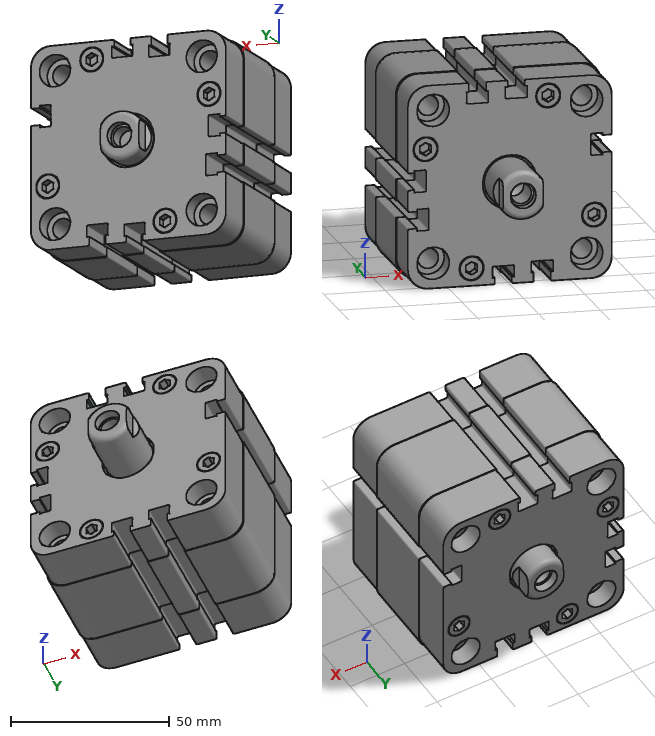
import cadquery as cq
import math


tube_side = 67.0
cap_side = 66.4
cap_length = 14.7
tube_length = 25.9
corner_radius = 6.7
body_length = 2 * cap_length + tube_length

deep_slot = (-10.55, 3.3, 7.0)
shallow_slot = (2.1, 2.4, 6.1)
lip_width = 5.4
channel_width = 6.9
slot_mouth_radius = 0.6
slot_floor_radius = 0.5
cap_slot_clearance = 0.1

overall_length = 80.5
rod_diameter = 16.0
rod_front_length = 17.55
rod_back_length = overall_length - body_length - rod_front_length
rod_end_radius = 1.8
flat_width = 13.05
flat_length = 5.6
rod_recess_diameter = 17.6
rod_recess_depth = 1.2

rod_hole_diameter = 6.7
rod_hole_depth = 12.9
rod_counterbore_diameter = 8.2
rod_counterbore_depth = 3.05
drill_tip_angle = 118.0

mount_spacing = 50.0
mount_hole_diameter = 6.7
mount_counterbore_diameter = 10.5
mount_counterbore_depth = 6.6

screw_across = 12.5
screw_out = 27.45
screw_pocket_diameter = 8.0
screw_head_diameter = 7.5
screw_head_height = 4.0
socket_across_flats = 3.7
socket_depth = 3.2


def front_plane(y):
    """XZ workplane at the given Y; extruding by a negative length goes towards +Y."""
    return cq.Workplane("XZ", origin=(0, y, 0))


def cylinder(diameter, y_start, y_end, points=((0, 0),)):
    """Cylinders along Y, one for each (x, z) point."""
    return front_plane(y_start).pushPoints(points).circle(diameter / 2).extrude(y_start - y_end)


def quarter_turns(shape, turns):
    """Turn a shape about the Y axis, from the top side towards the left side."""
    return shape.rotate((0, 0, 0), (0, 1, 0), -90 * turns)


def slot_cutter(slot, side, clearance, y_start, y_end):
    """T-slot in the top side, with rounded mouth edges and rounded floor corners."""
    offset, lip_depth, floor_depth = slot
    top = side / 2
    lip_z = tube_side / 2 - lip_depth
    floor_z = tube_side / 2 - floor_depth - clearance
    lip = lip_width / 2 + clearance
    channel = channel_width / 2 + clearance
    mouth = slot_mouth_radius
    corner = slot_floor_radius
    mouth_arc = mouth * (1 - math.sqrt(0.5))
    corner_arc = corner * (1 - math.sqrt(0.5))
    outline = (
        cq.Workplane("XZ", origin=(offset, y_start, 0))
        .moveTo(lip + mouth, top)
        .threePointArc((lip + mouth_arc, top - mouth_arc), (lip, top - mouth))
        .lineTo(lip, lip_z)
        .lineTo(channel, lip_z)
        .lineTo(channel, floor_z + corner)
        .threePointArc((channel - corner_arc, floor_z + corner_arc), (channel - corner, floor_z))
        .lineTo(corner - channel, floor_z)
        .threePointArc((corner_arc - channel, floor_z + corner_arc), (-channel, floor_z + corner))
        .lineTo(-channel, lip_z)
        .lineTo(-lip, lip_z)
        .lineTo(-lip, top - mouth)
        .threePointArc((-lip - mouth_arc, top - mouth_arc), (-lip - mouth, top))
        .close()
    )
    return outline.extrude(y_start - y_end)


def body_section(side, clearance, y_start, y_end):
    """Slotted square length of the body; the right side has only the deep slot."""
    section = front_plane(y_start).rect(side, side).extrude(y_start - y_end)
    section = section.edges("|Y").fillet(corner_radius)
    deep = slot_cutter(deep_slot, side, clearance, y_start, y_end)
    shallow = slot_cutter(shallow_slot, side, clearance, y_start, y_end)
    for turns in range(4):
        section = section.cut(quarter_turns(deep, turns))
    for turns in range(3):
        section = section.cut(quarter_turns(shallow, turns))
    return section


def cap_screws():
    """Return the screw pockets and the socket-head screws of the front cap."""
    points = [
        (screw_across, screw_out),
        (screw_out, -screw_across),
        (-screw_across, -screw_out),
        (-screw_out, screw_across),
    ]
    pockets = cylinder(screw_pocket_diameter, 0, screw_head_height, points)
    screws = cylinder(screw_head_diameter, 0, screw_head_height, points)
    socket_radius = socket_across_flats / 2 / math.cos(math.pi / 6)
    corner_angles = [math.radians(90 + 60 * corner) for corner in range(6)]
    for x, z in points:
        hexagon = [
            (x + socket_radius * math.cos(angle), z + socket_radius * math.sin(angle))
            for angle in corner_angles
        ]
        screws = screws.cut(front_plane(0).polyline(hexagon).close().extrude(-socket_depth))
    return pockets, screws


def front_and_back(shape):
    """A front feature together with its mirror image at the back face."""
    middle = (0, body_length / 2, 0)
    return shape.union(shape.mirror("XZ", middle))


def make_body():
    tube_start = cap_length
    tube_end = cap_length + tube_length
    body = body_section(tube_side, 0, tube_start, tube_end)
    body = body.union(body_section(cap_side, cap_slot_clearance, 0, tube_start))
    body = body.union(body_section(cap_side, cap_slot_clearance, tube_end, body_length))

    half = mount_spacing / 2
    mount_points = [(x, z) for x in (-half, half) for z in (-half, half)]
    counterbores = cylinder(mount_counterbore_diameter, 0, mount_counterbore_depth, mount_points)
    body = body.cut(cylinder(mount_hole_diameter, 0, body_length, mount_points))
    body = body.cut(front_and_back(counterbores))

    body = body.cut(front_and_back(cylinder(rod_recess_diameter, 0, rod_recess_depth)))
    pockets, screws = cap_screws()
    return body.cut(front_and_back(pockets)).union(front_and_back(screws))


def flat_cutter(tip_y, inward):
    """Material beside one wrench flat on the +X side, ending in a 45 degree run-out."""
    flat = flat_width / 2
    outer = rod_diameter / 2
    run_out = outer - flat
    flat_end = tip_y + inward * flat_length
    profile = [
        (flat, tip_y),
        (outer, tip_y),
        (outer, flat_end + inward * run_out),
        (flat, flat_end),
    ]
    return cq.Workplane("XY").polyline(profile).close().extrude(outer, both=True)


def rod_hole(tip_y, inward):
    """Counterbored blind hole with a conical drill tip."""
    radius = rod_hole_diameter / 2
    counterbore = rod_counterbore_diameter / 2
    tip_length = radius / math.tan(math.radians(drill_tip_angle / 2))
    counterbore_end = tip_y + inward * rod_counterbore_depth
    straight_end = tip_y + inward * rod_hole_depth
    profile = [
        (0, tip_y),
        (counterbore, tip_y),
        (counterbore, counterbore_end),
        (radius, counterbore_end),
        (radius, straight_end),
        (0, straight_end + inward * tip_length),
    ]
    return cq.Workplane("XY").polyline(profile).close().revolve(360, (0, 0, 0), (0, 1, 0))


def make_rod():
    front_tip = -rod_front_length
    back_tip = body_length + rod_back_length
    rod = cylinder(rod_diameter, front_tip, back_tip)
    rod = rod.faces("<Y or >Y").edges().fillet(rod_end_radius)
    for tip_y, inward in ((front_tip, 1), (back_tip, -1)):
        flat = flat_cutter(tip_y, inward)
        rod = rod.cut(flat).cut(flat.mirror("YZ"))
        rod = rod.cut(rod_hole(tip_y, inward))
    return rod


result = make_body().union(make_rod())